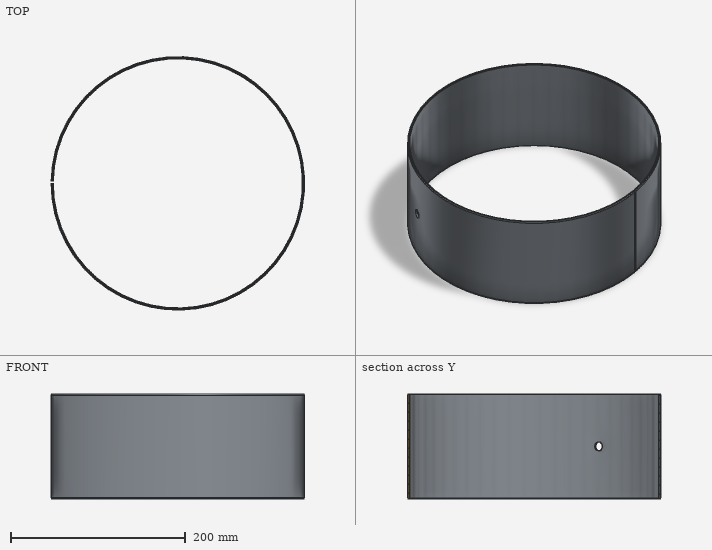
import math

import cadquery as cq

OUTER_DIAMETER = 290.0
WALL = 2.5
HEIGHT = 120.0
GAP_ANGLE = 1.0
GAP_END_ANGLE = 180.0
INNER_CHAMFER = 0.8
OUTER_CHAMFER_HEIGHT = 1.8
OUTER_CHAMFER_ANGLE = 20.0
HOLE_DIAMETER = 10.0
HOLE_TO_GAP_ANGLE = 120.0

OUTER_RADIUS = OUTER_DIAMETER / 2
INNER_RADIUS = OUTER_RADIUS - WALL
OUTER_CHAMFER_DEPTH = OUTER_CHAMFER_HEIGHT * math.tan(math.radians(OUTER_CHAMFER_ANGLE))
HOLE_ANGLE = GAP_END_ANGLE - GAP_ANGLE - HOLE_TO_GAP_ANGLE

ORIGIN = (0, 0, 0)
Z_AXIS_END = (0, 0, 1)


def make_split_ring():
    """Thin ring with chamfered inner and outer rims, open along a narrow wedge at -X."""
    half_height = HEIGHT / 2
    inner_edge = half_height - INNER_CHAMFER
    outer_edge = half_height - OUTER_CHAMFER_HEIGHT
    rim_inner_radius = INNER_RADIUS + INNER_CHAMFER
    rim_outer_radius = OUTER_RADIUS - OUTER_CHAMFER_DEPTH
    wall_section = [
        (INNER_RADIUS, -inner_edge),
        (rim_inner_radius, -half_height),
        (rim_outer_radius, -half_height),
        (OUTER_RADIUS, -outer_edge),
        (OUTER_RADIUS, outer_edge),
        (rim_outer_radius, half_height),
        (rim_inner_radius, half_height),
        (INNER_RADIUS, inner_edge),
    ]
    section = cq.Workplane("XZ").polyline(wall_section).close()
    ring = section.revolve(360 - GAP_ANGLE, ORIGIN, (0, 1, 0))
    return ring.rotate(ORIGIN, Z_AXIS_END, GAP_END_ANGLE)


def make_hole_cutter():
    """Radial cylinder that crosses the wall once, at mid-height."""
    cylinder = cq.Workplane("YZ").circle(HOLE_DIAMETER / 2).extrude(OUTER_RADIUS + WALL)
    return cylinder.rotate(ORIGIN, Z_AXIS_END, HOLE_ANGLE)


result = make_split_ring().cut(make_hole_cutter())